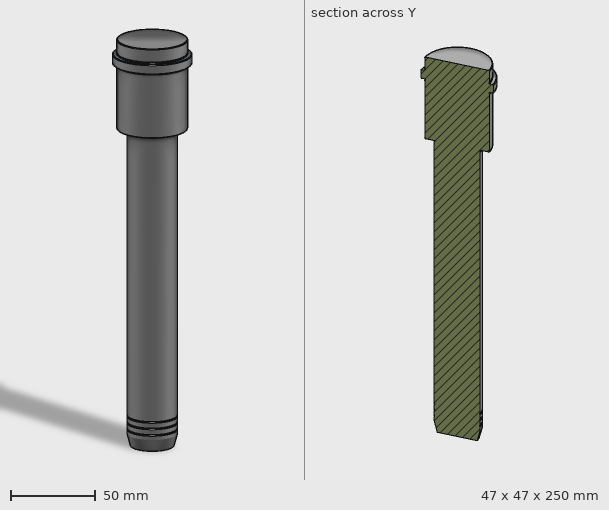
import cadquery as cq

total_length = 250.0

shaft_diameter = 30.0
head_diameter = 42.0
head_length = 55.0
collar_diameter = 47.0
collar_thickness = 6.0
collar_offset = 9.0

tip_height = 7.5
tip_end_diameter = 26.0
tip_fillet = 0.5

edge_chamfer = 0.5

groove_depth = 0.5
groove_width = 1.0
tip_groove_count = 3
tip_groove_pitch = 4.0
first_tip_groove_bottom = 10.0

head_bottom = total_length - head_length
collar_top = total_length - collar_offset
collar_bottom = collar_top - collar_thickness


def cylinder(diameter, bottom, height):
    return cq.Workplane("XY").workplane(offset=bottom).circle(diameter / 2).extrude(height)


def revolve_profile(points):
    """Turn a closed (radius, height) outline about the Z axis."""
    return cq.Workplane("XZ").polyline(points).close().revolve(360, (0, 0, 0), (0, 1, 0))


def make_shaft():
    """Shaft reaching up to the head, with a tapered and rounded tip."""
    radius = shaft_diameter / 2
    outline = [
        (0, 0),
        (tip_end_diameter / 2, 0),
        (radius, tip_height),
        (radius, head_bottom),
        (0, head_bottom),
    ]
    return revolve_profile(outline).faces("<Z").edges().fillet(tip_fillet)


def chamfered_disc(diameter, bottom, height):
    """Cylinder with both end edges chamfered."""
    return cylinder(diameter, bottom, height).faces("<Z or >Z").chamfer(edge_chamfer)


def groove_ring(diameter, bottom):
    """Triangular ring to cut from a cylinder of the given diameter."""
    radius = diameter / 2
    outline = [
        (radius, bottom),
        (radius, bottom + groove_width),
        (radius - groove_depth, bottom + groove_width / 2),
    ]
    return revolve_profile(outline)


result = make_shaft()
result = result.union(chamfered_disc(head_diameter, head_bottom, head_length))
result = result.union(chamfered_disc(collar_diameter, collar_bottom, collar_thickness))

result = result.cut(groove_ring(head_diameter, collar_top))
result = result.cut(groove_ring(head_diameter, collar_bottom - groove_width))
result = result.cut(groove_ring(shaft_diameter, head_bottom - groove_width))

for index in range(tip_groove_count):
    groove_bottom = first_tip_groove_bottom + index * tip_groove_pitch
    result = result.cut(groove_ring(shaft_diameter, groove_bottom))